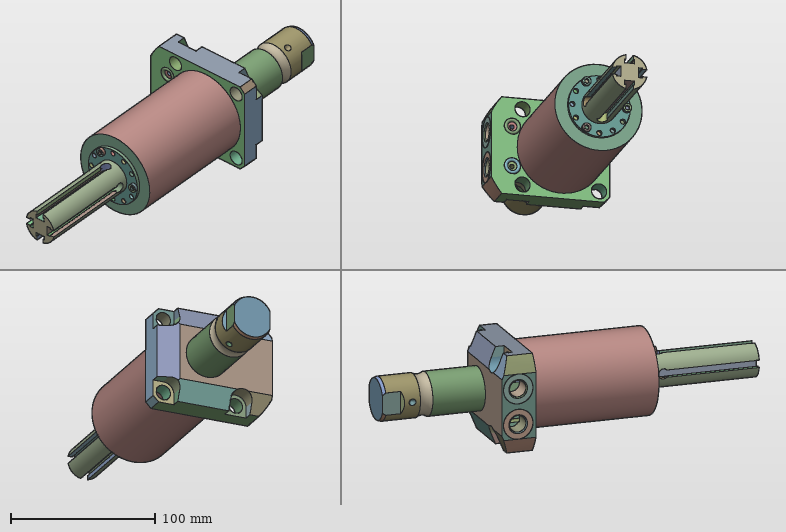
import cadquery as cq
import math


flange_thick = 25.0
flange_half = 35.5
port_side_x = -50.0
port_side_radius = 55.5
corner_chamfer = 4.2
bevel_width = 14.8
bevel_depth = 6.0

bolt_offset = 27.5
bolt_hole_dia = 10.9
bolt_seat_y = 12.5
bolt_seat_radius = 8.0

port_z = 12.8
port_y = 13.0
port_dia = 12.0
port_mouth_dia = 13.6
port_floor_x = -35.6
spot_face_dia = 21.7
spot_face_depth = 0.3
seal_x = -34.8
seal_z = 14.5
passage_dia = 3.0
passage_end_y = 13.6

wire_dia = 2.5
seal_projection = 0.7
recess_dia = 11.7
seal_mean_radius = recess_dia / 2 - wire_dia / 2
recess_depth = wire_dia - seal_projection

barrel_radius = 31.5
barrel_end_y = -97.5
cover_radius = 22.3
cover_thick = 2.5
cover_end_y = barrel_end_y - cover_thick
cover_pitch_radius = 19.5
cover_positions = 12
screw_every = 4
screw_head_dia = 6.0
screw_head_height = 2.5
socket_width = 3.0
socket_depth = 1.7
cover_hole_dia = 3.5
cover_hole_depth = 2.5

lower_rod_dia = 25.3
lower_rod_radius = lower_rod_dia / 2
lower_rod_end_y = -178.2
groove_count = 4
groove_start_y = -107.5
groove_neck_width = 5.3
groove_wide_width = 7.2
groove_floor_radius = 6.5
groove_shoulder_radius = 9.2

upper_rod_radius = 16.0
upper_rod_end_y = 100.2
end_chamfer_length = 2.5
end_chamfer_radial = 0.8
waist_low_y = 63.8
waist_high_y = 73.0
waist_depth = 1.5
flat_offset = 13.6
flat_start_y = 87.0
dimple_y = 78.8
dimple_dia = 5.0
dimple_angles = (60, 180, 300)

CUT_MARGIN = 2.8


def cylinder_y(radius, start_y, end_y, x=0.0, z=0.0):
    """Cylinder parallel to Y between two Y positions."""
    return cq.Workplane(
        cq.Solid.makeCylinder(radius, end_y - start_y, cq.Vector(x, start_y, z), cq.Vector(0, 1, 0))
    )


def box_between(x_range, y_range, z_range):
    """Box given by its two limits along each axis."""
    size = [limits[1] - limits[0] for limits in (x_range, y_range, z_range)]
    return cq.Workplane("XY").box(*size, centered=False).translate((x_range[0], y_range[0], z_range[0]))


def bevel_cutter():
    """Triangular bar that bevels the upper +X edge of the flange."""
    return (
        cq.Workplane("XY")
        .moveTo(flange_half, flange_thick - bevel_depth)
        .lineTo(flange_half, flange_thick)
        .lineTo(flange_half - bevel_width, flange_thick)
        .close()
        .extrude(port_side_radius, both=True)
    )


def make_flange():
    """Plate with chamfered +X corners, rounded port-side corners and three bevelled upper edges."""
    plate = box_between((port_side_x, flange_half), (0, flange_thick), (-flange_half, flange_half))
    plate = plate.edges("|Y and >X").chamfer(corner_chamfer)
    plate = plate.intersect(cylinder_y(port_side_radius, 0, flange_thick))
    for angle in (-90, 0, 90):
        plate = plate.cut(bevel_cutter().rotate((0, 0, 0), (0, 1, 0), angle))
    return plate


def bolt_seat(side_x, side_z):
    """Round-ended seat open to the nearest Z side, and on the +X pair open to the +X side too."""
    x = side_x * bolt_offset
    z = side_z * bolt_offset
    top_y = flange_thick + CUT_MARGIN
    seat = cylinder_y(bolt_seat_radius, bolt_seat_y, top_y, x, z)
    outer_z = side_z * (flange_half + CUT_MARGIN)
    z_range = sorted((z, outer_z))
    seat = seat.union(
        box_between((x - bolt_seat_radius, x + bolt_seat_radius), (bolt_seat_y, top_y), z_range)
    )
    if side_x > 0:
        inner_z = z - side_z * bolt_seat_radius
        seat = seat.union(
            box_between((x, flange_half + CUT_MARGIN), (bolt_seat_y, top_y), sorted((inner_z, outer_z)))
        )
    return seat


def cut_mounting_holes(body):
    for side_x in (-1, 1):
        for side_z in (-1, 1):
            hole = cylinder_y(
                bolt_hole_dia / 2, -CUT_MARGIN, flange_thick, side_x * bolt_offset, side_z * bolt_offset
            )
            body = body.cut(hole).cut(bolt_seat(side_x, side_z))
    return body


def port_cutter(side_z):
    """Spot face, countersunk mouth and flat-bottomed bore, revolved about the port axis."""
    spot_x = port_side_x + spot_face_depth
    mouth_end_x = spot_x + (port_mouth_dia - port_dia) / 2
    bore = (
        cq.Workplane("XY")
        .moveTo(port_side_x, 0)
        .lineTo(port_side_x, spot_face_dia / 2)
        .lineTo(spot_x, spot_face_dia / 2)
        .lineTo(spot_x, port_mouth_dia / 2)
        .lineTo(mouth_end_x, port_dia / 2)
        .lineTo(port_floor_x, port_dia / 2)
        .lineTo(port_floor_x, 0)
        .close()
        .revolve(360, (0, 0, 0), (1, 0, 0))
    )
    return bore.translate((0, port_y, side_z * port_z))


def cut_ports(body):
    for side_z in (-1, 1):
        z = side_z * seal_z
        body = body.cut(port_cutter(side_z))
        body = body.cut(cylinder_y(passage_dia / 2, 0, passage_end_y, seal_x, z))
        body = body.cut(cylinder_y(recess_dia / 2, 0, recess_depth, seal_x, z))
    return body


def add_end_cover(body):
    """Cover disc whose pitch circle carries three socket screws and nine blind holes."""
    body = body.union(cylinder_y(cover_radius, cover_end_y, barrel_end_y))
    head_end_y = cover_end_y - screw_head_height
    for position in range(cover_positions):
        angle = 2 * math.pi * position / cover_positions
        x = cover_pitch_radius * math.cos(angle)
        z = cover_pitch_radius * math.sin(angle)
        if position % screw_every == 0:
            socket = (
                cq.Workplane("XZ", origin=(x, head_end_y + socket_depth, z))
                .polygon(6, socket_width, circumscribed=True)
                .extrude(socket_depth)
            )
            head = cylinder_y(screw_head_dia / 2, head_end_y, cover_end_y, x, z)
            body = body.union(head.cut(socket))
        else:
            hole = cylinder_y(cover_hole_dia / 2, cover_end_y, cover_end_y + cover_hole_depth, x, z)
            body = body.cut(hole)
    return body


def groove_cutter():
    """T-shaped groove along the +Z side of the lower rod, with a round entry at its inner end."""
    y_range = (lower_rod_end_y, groove_start_y)
    outer_radius = lower_rod_radius + CUT_MARGIN
    neck = box_between(
        (-groove_neck_width / 2, groove_neck_width / 2), y_range, (groove_floor_radius, outer_radius)
    )
    wide = box_between(
        (-groove_wide_width / 2, groove_wide_width / 2),
        y_range,
        (groove_floor_radius, groove_shoulder_radius),
    )
    entry = (
        cq.Workplane("XY", origin=(0, groove_start_y, groove_floor_radius))
        .circle(groove_wide_width / 2)
        .extrude(outer_radius - groove_floor_radius)
    )
    return neck.union(wide).union(entry)


def make_lower_rod():
    rod = cylinder_y(lower_rod_radius, lower_rod_end_y, cover_end_y)
    for index in range(groove_count):
        angle = 360 * index / groove_count
        rod = rod.cut(groove_cutter().rotate((0, 0, 0), (0, 1, 0), angle))
    return rod


def flat_cutter():
    """Wrench flat on the +X side of the upper rod, running out at 45 degrees."""
    outer_x = upper_rod_radius + CUT_MARGIN
    return (
        cq.Workplane("XY")
        .moveTo(flat_offset, upper_rod_end_y)
        .lineTo(flat_offset, flat_start_y)
        .lineTo(outer_x, flat_start_y - (outer_x - flat_offset))
        .lineTo(outer_x, upper_rod_end_y)
        .close()
        .extrude(upper_rod_radius, both=True)
    )


def dimple_cutter(angle):
    """Ninety-degree cone pointing at the rod axis."""
    depth = dimple_dia / 2
    outer_radius = depth + CUT_MARGIN
    direction = cq.Vector(math.cos(math.radians(angle)), 0, math.sin(math.radians(angle)))
    tip = cq.Vector(0, dimple_y, 0) + direction * (upper_rod_radius - depth)
    return cq.Workplane(cq.Solid.makeCone(0, outer_radius, outer_radius, tip, direction))


def make_upper_rod():
    rod = (
        cq.Workplane("XY")
        .moveTo(0, flange_thick)
        .lineTo(upper_rod_radius, flange_thick)
        .lineTo(upper_rod_radius, waist_low_y)
        .threePointArc(
            (upper_rod_radius - waist_depth, (waist_low_y + waist_high_y) / 2),
            (upper_rod_radius, waist_high_y),
        )
        .lineTo(upper_rod_radius, upper_rod_end_y - end_chamfer_length)
        .lineTo(upper_rod_radius - end_chamfer_radial, upper_rod_end_y)
        .lineTo(0, upper_rod_end_y)
        .close()
        .revolve(360, (0, 0, 0), (0, 1, 0))
    )
    for turn in (0, 180):
        rod = rod.cut(flat_cutter().rotate((0, 0, 0), (0, 1, 0), turn))
    for angle in dimple_angles:
        rod = rod.cut(dimple_cutter(angle))
    return rod


def make_cylinder_body():
    body = cut_ports(cut_mounting_holes(make_flange()))
    body = body.union(cylinder_y(barrel_radius, barrel_end_y, 0))
    body = add_end_cover(body)
    return body.union(make_lower_rod()).union(make_upper_rod())


def make_o_ring(side_z):
    """O-ring resting on the floor of its recess and standing proud of the mounting face."""
    center = cq.Vector(seal_x, recess_depth - wire_dia / 2, side_z * seal_z)
    return cq.Workplane(cq.Solid.makeTorus(seal_mean_radius, wire_dia / 2, center, cq.Vector(0, 1, 0)))


cylinder_body = make_cylinder_body()
o_rings = [make_o_ring(side_z) for side_z in (-1, 1)]

result = cq.Compound.makeCompound([cylinder_body.val(), *[ring.val() for ring in o_rings]])